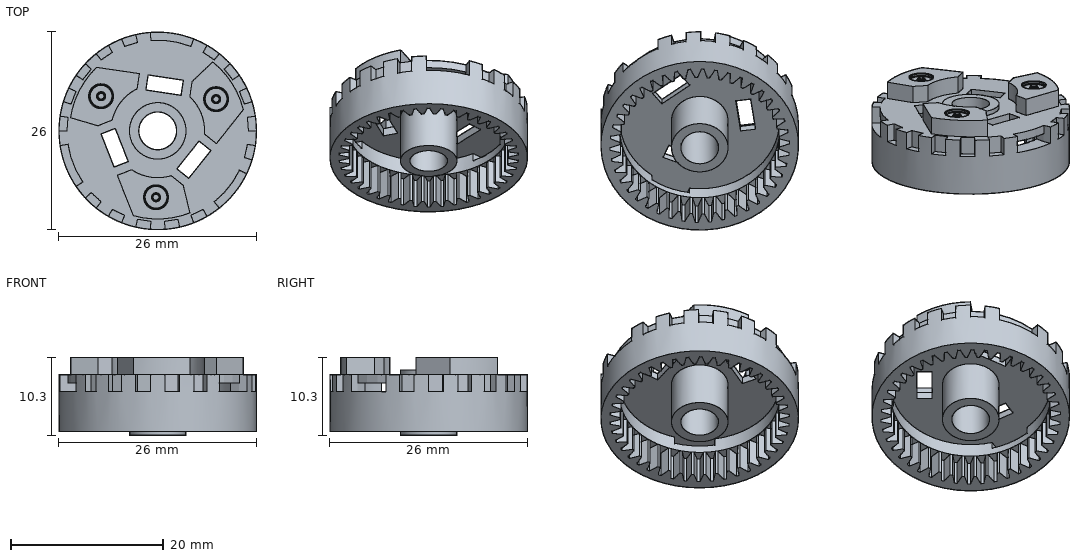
import cadquery as cq
import math

outer_radius = 13.0
sectors = 3
sector_angle = 360 / sectors

rim_bottom = 0.5
notch_floor = 5.75
plate_underside = 6.86
plate_top = 8.0
hub_top = 8.6
block_top = 10.27

hub_radius = 3.72
bore_radius = 2.47
cavity_radius = 10.5

pitches = 21
pitch_angle = 360 / pitches
notch_angle = pitch_angle / 2
notch_root_radius = 11.93
narrow_notches = pitches // sectors - 2
wide_gap_facets = 3
wide_gap_angle = wide_gap_facets * notch_angle
axis_angle = 90 - notch_angle

internal_teeth = 2 * pitches
tooth_pitch_angle = 360 / internal_teeth
tooth_offset_angle = 1.3
tooth_tip_half_angle = 0.9
tooth_base_half_angle = 3.4
tooth_root_radius = 11.8
tooth_top = notch_floor - (plate_top - plate_underside)

window_length = 4.65
window_width = 1.98
window_distance = 6.08

block_inner_radius = 6.15
block_inner_half_angle = 25.3
block_shoulder_radius = 7.9
block_shoulder_half_angle = 33.7
block_outer_radius = 11.6
block_outer_start_angle = -7.5
block_outer_end_angle = 30.0

recess_distance = 8.74
recess_offset_angle = 7.1
recess_radius = 1.65
recess_depth = 0.42
pin_top_radius = 0.4
pin_height = 0.3
recess_chamfer = 0.1


def polar(radius, angle):
    """Point at a radius and an angle in degrees about the part axis."""
    return (radius * math.cos(math.radians(angle)), radius * math.sin(math.radians(angle)))


def cylinder(radius, bottom, top):
    return cq.Workplane("XY").workplane(offset=bottom).circle(radius).extrude(top - bottom)


def notch(first_edge, facets):
    """Notch in the rim from the notch floor up, with one flat root facet per half pitch."""
    last_edge = first_edge + facets * notch_angle
    middle = (first_edge + last_edge) / 2
    clear_radius = outer_radius + 0.25
    root = [polar(notch_root_radius, first_edge + i * notch_angle) for i in range(facets + 1)]
    return (
        cq.Workplane("XY").workplane(offset=notch_floor)
        .polyline(root)
        .lineTo(*polar(clear_radius, last_edge))
        .threePointArc(polar(clear_radius, middle), polar(clear_radius, first_edge))
        .close()
        .extrude(plate_top - notch_floor)
    )


def gap_passage(direction):
    """Parallel-sided opening under the plate, joining a wide gap to the cavity."""
    half_width = notch_root_radius * math.sin(math.radians(wide_gap_angle / 2))
    height = plate_underside - notch_floor
    passage = (
        cq.Workplane("XY").workplane(offset=notch_floor)
        .center(notch_root_radius / 2, 0)
        .rect(notch_root_radius, 2 * half_width)
        .extrude(height)
        .rotate((0, 0, 0), (0, 0, 1), direction)
    )
    passage = passage.intersect(cylinder(notch_root_radius, notch_floor, plate_underside))
    return passage.cut(cylinder(hub_radius, notch_floor, plate_underside))


def toothed_cavity():
    """Space inside the ring of internal teeth, open at the bottom."""
    outline = []
    for tooth in range(internal_teeth):
        middle = axis_angle + tooth_offset_angle + tooth * tooth_pitch_angle
        outline += [
            polar(tooth_root_radius, middle - tooth_base_half_angle),
            polar(cavity_radius, middle - tooth_tip_half_angle),
            polar(cavity_radius, middle + tooth_tip_half_angle),
            polar(tooth_root_radius, middle + tooth_base_half_angle),
        ]
    return (
        cq.Workplane("XY").workplane(offset=rim_bottom)
        .polyline(outline).close()
        .extrude(tooth_top - rim_bottom)
    )


def window(direction):
    return (
        cq.Workplane("XY").workplane(offset=plate_underside)
        .center(window_distance, 0)
        .rect(window_width, window_length)
        .extrude(plate_top - plate_underside)
        .rotate((0, 0, 0), (0, 0, 1), direction)
    )


def pin_recess():
    """Round pocket around a low pin, with its mouth at Z = 0."""
    wall_radius = recess_radius - recess_chamfer
    pin_wall_radius = pin_top_radius + recess_chamfer
    pin_top = pin_height - recess_depth
    profile = [
        (0, 0),
        (recess_radius, 0),
        (wall_radius, -recess_chamfer),
        (wall_radius, recess_chamfer - recess_depth),
        (wall_radius - recess_chamfer, -recess_depth),
        (pin_wall_radius + recess_chamfer, -recess_depth),
        (pin_wall_radius, recess_chamfer - recess_depth),
        (pin_wall_radius, pin_top - recess_chamfer),
        (pin_top_radius, pin_top),
        (0, pin_top),
    ]
    return cq.Workplane("XZ").polyline(profile).close().revolve(360, (0, 0, 0), (0, 1, 0))


def block(direction):
    """Raised block with its recess and pin; it stands opposite a window."""
    outer_middle = (block_outer_start_angle + block_outer_end_angle) / 2
    body = (
        cq.Workplane("XY").workplane(offset=plate_top)
        .moveTo(*polar(block_inner_radius, -block_inner_half_angle))
        .threePointArc(polar(block_inner_radius, 0), polar(block_inner_radius, block_inner_half_angle))
        .lineTo(*polar(block_shoulder_radius, block_shoulder_half_angle))
        .lineTo(*polar(block_outer_radius, block_outer_end_angle))
        .threePointArc(
            polar(block_outer_radius, outer_middle),
            polar(block_outer_radius, block_outer_start_angle),
        )
        .lineTo(*polar(block_shoulder_radius, -block_shoulder_half_angle))
        .close()
        .extrude(block_top - plate_top)
    )
    pocket = pin_recess().translate((*polar(recess_distance, recess_offset_angle), block_top))
    return body.cut(pocket).rotate((0, 0, 0), (0, 0, 1), direction)


result = cylinder(outer_radius, rim_bottom, plate_top)
result = result.cut(cylinder(cavity_radius, tooth_top, plate_underside))
result = result.cut(toothed_cavity())
result = result.union(cylinder(hub_radius, 0, hub_top))
result = result.cut(cylinder(bore_radius, 0, hub_top))

for sector in range(sectors):
    direction = axis_angle + sector * sector_angle
    result = result.cut(notch(direction - wide_gap_angle / 2, wide_gap_facets))
    result = result.cut(gap_passage(direction))
    result = result.cut(window(direction))
    for step in range(narrow_notches):
        first_edge = direction + wide_gap_angle / 2 + notch_angle + step * pitch_angle
        result = result.cut(notch(first_edge, 1))
    result = result.union(block(direction + sector_angle / 2))